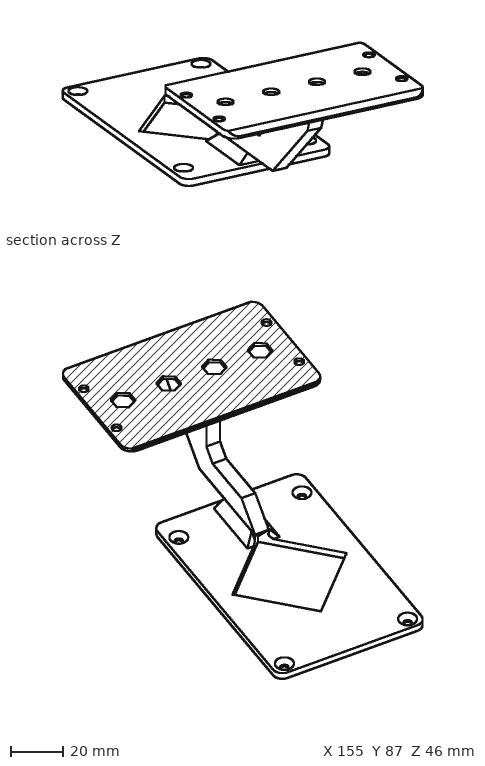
import cadquery as cq
import math

PLATE_THICKNESS = 3.0
BASE_LENGTH = 100.0
BASE_WIDTH = 65.0
BASE_CORNER_RADIUS = 4.0
BASE_SCREW_SPACING = (84.0, 54.0)
BASE_SCREW_CENTER_X = -3.0
BASE_SCREW_DIAMETER = 3.3
COUNTERSINK_DIAMETER = 7.3
COUNTERSINK_ANGLE = 90
WINDOW_DIAGONAL = 49.9

TOTAL_LENGTH = 155
TOTAL_HEIGHT = 46.0
TOP_LENGTH = 54.2
TOP_WIDTH = 87.0
TOP_CORNER_RADIUS = 5.0
TOP_BEVEL = 2.2
TOP_SCREW_SPACING = (26.0, 80.0)
TOP_SCREW_DIAMETER = 3.5
TOP_SCREW_MOUTH_DIAMETER = 4.5
CONNECTOR_DIAMETER = 6.2
CONNECTOR_PITCH = 20.0
CONNECTOR_COUNT = 4
NUT_ACROSS_FLATS = 8.0
NUT_SIDES = 6
NUT_RECESS_DEPTH = 1.5
TOP_CENTER_X = TOTAL_LENGTH - (BASE_LENGTH + TOP_LENGTH) / 2
TOP_UNDERSIDE = TOTAL_HEIGHT - PLATE_THICKNESS

ARM_THICKNESS = 6.0
ARM_TOP = 17.7
ARM_NOSE_Z = 7.3
ARM_SHOULDER_X = 32.7
ARM_HEEL_X = 66.3
RISER_FRONT_X = 60.6
RISER_STEP = 5.0
RISER_BACK_X = 96.1
RISER_BEVEL_X = 2.0
RISER_BEVEL_Z = 5.7
WINDOW_TIP_X = WINDOW_DIAGONAL / 2
ARM_START_X = WINDOW_TIP_X - ARM_THICKNESS / 2

FOOT_FLARE = 4.0
FOOT_START_X = 20.6
FOOT_END_X = 47.3
FOOT_END_DRAFT = 0.8
HEAD_FLARE = 3.0
ARM_BOTTOM = PLATE_THICKNESS + FOOT_FLARE
HEAD_BOTTOM = TOP_UNDERSIDE - HEAD_FLARE


def rounded_plate(length, width, corner_radius, center_x, bottom_z):
    plate = cq.Workplane("XY", origin=(center_x, 0, bottom_z))
    plate = plate.rect(length, width).extrude(PLATE_THICKNESS)
    return plate.edges("|Z").fillet(corner_radius)


def centered_prism(outline):
    """Extrude an XZ outline to the arm thickness, centred on the XZ plane."""
    return cq.Workplane("XZ").polyline(outline).close().extrude(ARM_THICKNESS / 2, both=True)


def base_plate():
    plate = rounded_plate(BASE_LENGTH, BASE_WIDTH, BASE_CORNER_RADIUS, 0, 0)
    return (
        plate.faces(">Z")
        .workplane(origin=(BASE_SCREW_CENTER_X, 0, PLATE_THICKNESS))
        .rect(*BASE_SCREW_SPACING, forConstruction=True)
        .vertices()
        .cskHole(BASE_SCREW_DIAMETER, COUNTERSINK_DIAMETER, COUNTERSINK_ANGLE)
    )


def foot():
    """Hipped flare on the base plate with the root of the arm inside it."""
    bottom_center_x = (FOOT_START_X + FOOT_END_X) / 2
    top_start_x = FOOT_START_X + FOOT_FLARE
    top_end_x = FOOT_END_X - FOOT_END_DRAFT
    top_center_x = (top_start_x + top_end_x) / 2
    flare = (
        cq.Workplane("XY", origin=(0, 0, PLATE_THICKNESS))
        .center(bottom_center_x, 0)
        .rect(FOOT_END_X - FOOT_START_X, ARM_THICKNESS + 2 * FOOT_FLARE)
        .workplane(offset=FOOT_FLARE)
        .center(top_center_x - bottom_center_x, 0)
        .rect(top_end_x - top_start_x, ARM_THICKNESS)
        .loft(ruled=True)
    )
    root = centered_prism([
        (ARM_START_X, PLATE_THICKNESS),
        (top_end_x, PLATE_THICKNESS),
        (top_end_x, ARM_BOTTOM),
        (ARM_START_X, ARM_BOTTOM),
    ])
    return flare.union(root)


def window():
    """Diamond opening that passes through the base plate and the foot."""
    diamond = cq.Workplane("XY").polygon(4, WINDOW_DIAGONAL)
    return diamond.extrude(ARM_BOTTOM)


def arm():
    """Cranked web whose sloped nose overhangs the +X corner of the window."""
    bevel_start_x = RISER_BACK_X - RISER_BEVEL_X
    bevel_start_z = HEAD_BOTTOM - RISER_BEVEL_Z
    return centered_prism([
        (ARM_START_X, ARM_NOSE_Z),
        (ARM_SHOULDER_X, ARM_TOP),
        (RISER_FRONT_X - RISER_STEP, ARM_TOP),
        (RISER_FRONT_X, ARM_TOP + RISER_STEP),
        (RISER_FRONT_X, TOP_UNDERSIDE),
        (RISER_BACK_X, TOP_UNDERSIDE),
        (RISER_BACK_X, HEAD_BOTTOM),
        (bevel_start_x, bevel_start_z),
        (ARM_HEEL_X, ARM_BOTTOM),
        (FOOT_END_X - FOOT_END_DRAFT, ARM_BOTTOM),
        (WINDOW_TIP_X, PLATE_THICKNESS),
    ])


def head():
    """Flare under the connector plate, widening upward on both sides of the riser."""
    half_bottom = ARM_THICKNESS / 2
    half_top = half_bottom + HEAD_FLARE
    return (
        cq.Workplane("YZ", origin=(RISER_FRONT_X, 0, 0))
        .polyline([
            (-half_bottom, HEAD_BOTTOM),
            (half_bottom, HEAD_BOTTOM),
            (half_top, TOP_UNDERSIDE),
            (-half_top, TOP_UNDERSIDE),
        ])
        .close()
        .extrude(RISER_BACK_X - RISER_FRONT_X)
    )


def top_plate():
    """Connector plate whose two long upper edges are bevelled across the full width."""
    plate = rounded_plate(TOP_LENGTH, TOP_WIDTH, TOP_CORNER_RADIUS, TOP_CENTER_X, TOP_UNDERSIDE)
    half_length = TOP_LENGTH / 2
    bevel_profile = [
        (-half_length, TOP_UNDERSIDE),
        (half_length, TOP_UNDERSIDE),
        (half_length, TOTAL_HEIGHT - TOP_BEVEL),
        (half_length - TOP_BEVEL, TOTAL_HEIGHT),
        (TOP_BEVEL - half_length, TOTAL_HEIGHT),
        (-half_length, TOTAL_HEIGHT - TOP_BEVEL),
    ]
    envelope = (
        cq.Workplane("XZ", origin=(TOP_CENTER_X, 0, 0))
        .polyline(bevel_profile)
        .close()
        .extrude(TOP_WIDTH / 2, both=True)
    )
    return plate.intersect(envelope)


def top_screw_holes():
    """Through holes with a small countersink at the upper face."""
    hole_radius = TOP_SCREW_DIAMETER / 2
    mouth_radius = TOP_SCREW_MOUTH_DIAMETER / 2
    mouth_depth = mouth_radius - hole_radius
    screw_hole = (
        cq.Workplane("XZ")
        .polyline([
            (0, 0),
            (mouth_radius, 0),
            (hole_radius, -mouth_depth),
            (hole_radius, -PLATE_THICKNESS),
            (0, -PLATE_THICKNESS),
        ])
        .close()
        .revolve()
        .val()
    )
    centers = (
        cq.Workplane("XY", origin=(TOP_CENTER_X, 0, TOTAL_HEIGHT))
        .rect(*TOP_SCREW_SPACING, forConstruction=True)
        .vertices()
    )
    return centers.eachpoint(lambda place: screw_hole.moved(place))


def connector_holes():
    """Row of round holes, each opening into a hexagonal nut recess in the underside."""
    row = cq.Workplane("XY", origin=(TOP_CENTER_X, 0, TOP_UNDERSIDE))
    row = row.rarray(1.5, CONNECTOR_PITCH, 1, CONNECTOR_COUNT)
    holes = row.circle(CONNECTOR_DIAMETER / 2).extrude(PLATE_THICKNESS)
    nut_radius = NUT_ACROSS_FLATS / 2 / math.cos(math.pi / NUT_SIDES)
    nut = cq.Sketch().regularPolygon(nut_radius, NUT_SIDES, angle=90)
    recesses = row.placeSketch(nut).extrude(NUT_RECESS_DEPTH)
    return holes.union(recesses)


lower_body = base_plate().union(foot()).cut(window())
connector_plate = top_plate().cut(top_screw_holes()).cut(connector_holes())
result = lower_body.union(arm()).union(head()).union(connector_plate)